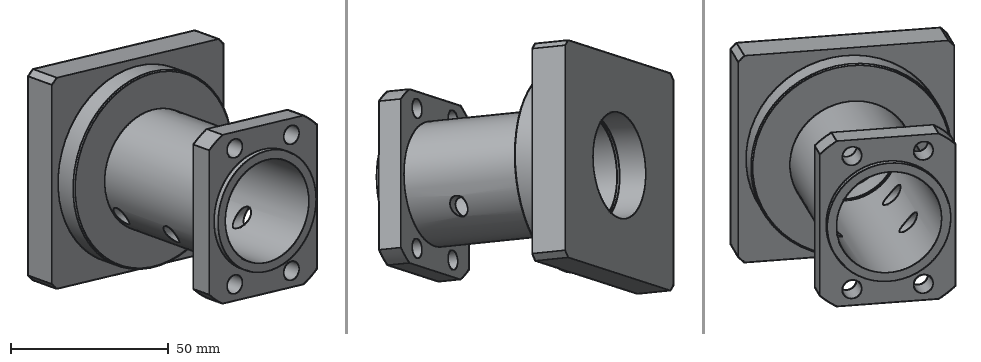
import cadquery as cq

length = 77.0
base_side = 70.0
base_thickness = 12.0
base_chamfer = 2.0

collar_diameter = 65.0
collar_end = 20.0
collar_chamfer = 0.5

tube_diameter = 40.0
bore_diameter = 34.0

groove_start = 9.55
groove_width = 0.9
groove_depth = 0.2

flange_start = 67.0
flange_thickness = 8.0
flange_width = 44.0
flange_height = 56.0
flange_corner_diameter = 65.0
flange_hole_diameter = 6.2
flange_hole_pitch_y = 23.1
flange_hole_pitch_z = 45.05

cross_hole_diameter = 6.0
cross_hole_x = (23.95, 49.05)
cross_hole_z = -11.25


def cylinder(diameter, start, end):
    """Solid cylinder on the X axis between two X positions."""
    return cq.Workplane("YZ", origin=(start, 0, 0)).circle(diameter / 2).extrude(end - start)


def plate(width, height, start, thickness):
    """Rectangular plate centred on the X axis."""
    return cq.Workplane("YZ", origin=(start, 0, 0)).rect(width, height).extrude(thickness)


def make_base():
    square = plate(base_side, base_side, 0, base_thickness).edges("|X").chamfer(base_chamfer)
    collar = cylinder(collar_diameter, 0, collar_end).faces(">X").chamfer(collar_chamfer)
    return square.union(collar)


def make_flange():
    flange_end = flange_start + flange_thickness
    blank = plate(flange_width, flange_height, flange_start, flange_thickness)
    blank = blank.intersect(cylinder(flange_corner_diameter, flange_start, flange_end))
    holes = (
        cq.Workplane("YZ", origin=(flange_start, 0, 0))
        .rarray(flange_hole_pitch_y, flange_hole_pitch_z, 2, 2)
        .circle(flange_hole_diameter / 2)
        .extrude(flange_thickness)
    )
    return blank.cut(holes)


def make_cross_holes():
    return (
        cq.Workplane("XZ")
        .pushPoints([(x, cross_hole_z) for x in cross_hole_x])
        .circle(cross_hole_diameter / 2)
        .extrude(tube_diameter / 2, both=True)
    )


bore = cylinder(bore_diameter, 0, length)
groove = cylinder(bore_diameter + 2 * groove_depth, groove_start, groove_start + groove_width)

body = make_base().union(cylinder(tube_diameter, 0, length)).union(make_flange())
result = body.cut(bore).cut(groove).cut(make_cross_holes())